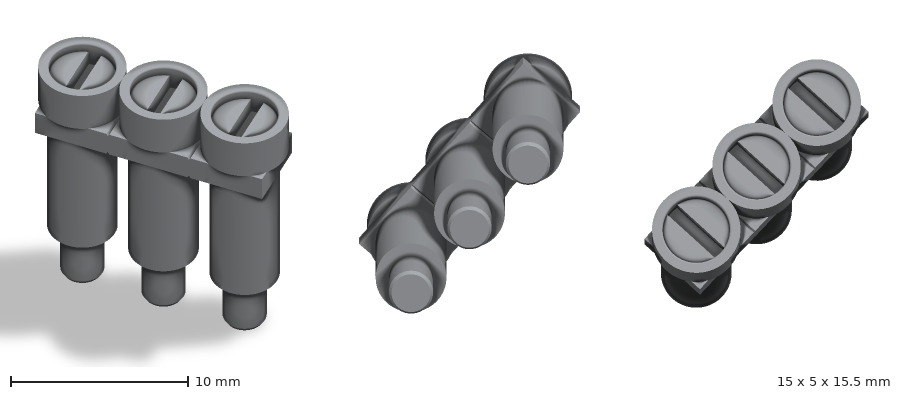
import cadquery as cq


screw_count = 3
pitch = 5.0

bar_length = 14.0
bar_width = 4.28
bar_thickness = 1.5
notch_width = 0.18
notch_depth = 0.15

collar_diameter = pitch
collar_height = 2.5
collar_bore_diameter = 3.8
collar_mouth_diameter = 4.0
collar_mouth_fillet = (collar_mouth_diameter - collar_bore_diameter) / 2

sleeve_diameter = 4.0
sleeve_length = 8.0

head_recess = 0.5
head_height = collar_height - head_recess
head_fillet = 0.15
slot_width = 0.8
slot_depth = 1.0
shank_diameter = 2.5
shank_protrusion = 3.5
shank_length = bar_thickness + sleeve_length + shank_protrusion
tip_chamfer_height = 0.25
tip_chamfer_inset = 0.15

screw_positions = [(i - (screw_count - 1) / 2) * pitch for i in range(screw_count)]
notch_positions = [(left + right) / 2 for left, right in zip(screw_positions, screw_positions[1:])]


def make_notch(x, face_z, apex_z):
    """V-shaped cutter across the bar width, open at face_z and pointed at apex_z."""
    return (
        cq.Workplane("XZ")
        .moveTo(x - notch_width / 2, face_z)
        .lineTo(x + notch_width / 2, face_z)
        .lineTo(x, apex_z)
        .close()
        .extrude(bar_width / 2, both=True)
    )


def make_bar():
    """Flat bar with a clearance hole per screw and V notches between the screws."""
    bar = (
        cq.Workplane("XY")
        .box(bar_length, bar_width, bar_thickness, centered=(True, True, False))
        .translate((0, 0, -bar_thickness))
        .faces(">Z")
        .workplane(origin=(0, 0, 0))
        .pushPoints([(x, 0) for x in screw_positions])
        .hole(shank_diameter)
    )
    for x in notch_positions:
        bar = bar.cut(make_notch(x, 0, -notch_depth))
        bar = bar.cut(make_notch(x, -bar_thickness, notch_depth - bar_thickness))
    return bar


def make_collar(x):
    """Ring standing on the bar, with a rounded bore mouth."""
    return (
        cq.Workplane("XY")
        .circle(collar_diameter / 2)
        .circle(collar_bore_diameter / 2)
        .extrude(collar_height)
        .faces(">Z")
        .edges(cq.selectors.RadiusNthSelector(0))
        .fillet(collar_mouth_fillet)
        .translate((x, 0, 0))
    )


def make_sleeve(x):
    """Tube around the shank, hanging below the bar."""
    return (
        cq.Workplane("XY")
        .circle(sleeve_diameter / 2)
        .circle(shank_diameter / 2)
        .extrude(-sleeve_length)
        .translate((x, 0, -bar_thickness))
    )


def make_screw(x):
    """Slotted cylinder head seated on the bar, with a shank reaching out of the sleeve."""
    head = (
        cq.Workplane("XY")
        .circle(collar_bore_diameter / 2)
        .extrude(head_height)
        .faces(">Z")
        .fillet(head_fillet)
    )
    slot = (
        cq.Workplane("XY")
        .box(slot_width, collar_bore_diameter, slot_depth, centered=(True, True, False))
        .translate((0, 0, head_height - slot_depth))
    )
    shank = (
        cq.Workplane("XY")
        .circle(shank_diameter / 2)
        .extrude(-shank_length)
        .faces("<Z")
        .chamfer(tip_chamfer_height, tip_chamfer_inset)
    )
    return head.cut(slot).union(shank).translate((x, 0, 0))


bar = make_bar()
collars = [make_collar(x) for x in screw_positions]
sleeves = [make_sleeve(x) for x in screw_positions]
screws = [make_screw(x) for x in screw_positions]

result = cq.Compound.makeCompound([body.val() for body in [bar, *collars, *sleeves, *screws]])